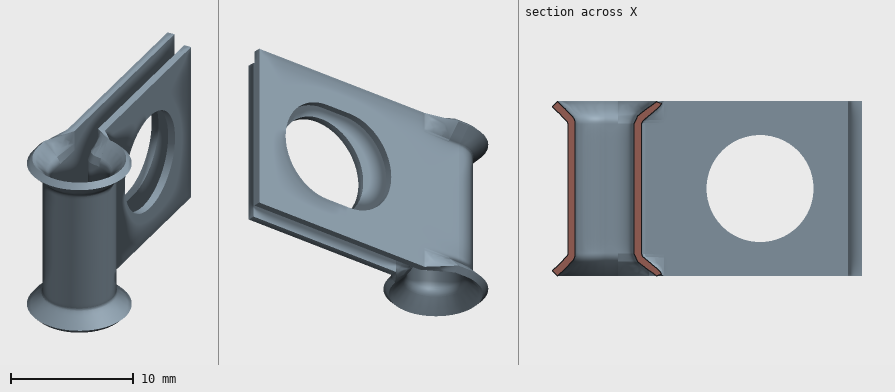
import cadquery as cq
import math

sheet = 0.635
height = 14.27
bore_radius = 2.38
barrel_radius = bore_radius + sheet
half_height = height / 2

long_leaf_end = 21.03
short_leaf_end = 19.87
long_leaf_outer_x = -barrel_radius
long_leaf_inner_x = -bore_radius
short_leaf_gap_x = -0.86
short_leaf_far_x = short_leaf_gap_x + sheet

hole_y = 12.70
hole_diameter = 8.73
slot_length = 11.11

reverse_bend_inner = 0.365
reverse_bend_outer = reverse_bend_inner + sheet
bend_center_x = short_leaf_gap_x + reverse_bend_outer
bend_center_distance = bore_radius + reverse_bend_outer
bend_center_y = math.sqrt(bend_center_distance**2 - bend_center_x**2)
bend_direction = math.atan2(bend_center_y, bend_center_x)

flare_radius = 4.28
flare_angle = math.radians(45)
flare_bend_outer = 0.27
flare_bend_inner = flare_bend_outer + sheet
flare_zone_z = 5.08
tip_outer_z = half_height - sheet * math.cos(flare_angle)
tip_inner_radius = flare_radius - sheet * math.sin(flare_angle)
bend_rise = 1 - math.cos(flare_angle)
cone_outer_radius = barrel_radius + flare_bend_outer * bend_rise
cone_outer_z = tip_outer_z - (flare_radius - cone_outer_radius) / math.tan(flare_angle)
flare_bend_z = cone_outer_z - flare_bend_outer * math.sin(flare_angle)
cone_inner_radius = bore_radius + flare_bend_inner * bend_rise
cone_inner_z = flare_bend_z + flare_bend_inner * math.sin(flare_angle)

straight_flare_end_y = 1.10
long_transition_end_y = 3.63
flare_stop_x = 0.64
short_transition_end_y = 4.87
bend_steps = 4
straight_steps = 4


def polar(radius, angle, center=(0, 0)):
    return (center[0] + radius * math.cos(angle), center[1] + radius * math.sin(angle))


def blend(start, end, fraction):
    return tuple(a + fraction * (b - a) for a, b in zip(start, end))


def box_between(x_range, y_range, z_range):
    size = [high - low for low, high in (x_range, y_range, z_range)]
    corner = (x_range[0], y_range[0], z_range[0])
    return cq.Workplane("XY").box(*size, centered=False).translate(corner)


def stop_point(radius):
    """Point at the given radius where the turned barrel is cut off before the reverse bend."""
    return (flare_stop_x, math.sqrt(radius**2 - flare_stop_x**2))


def make_neck():
    """Sheet between the flared zones that runs from the barrel around the reverse bend."""
    bend_center = (bend_center_x, bend_center_y)
    bend_start = bend_direction + math.pi
    bend_middle = (bend_start + math.pi) / 2
    stop_x, outer_stop_y = stop_point(barrel_radius)
    barrel_middle = (math.atan2(outer_stop_y, stop_x) + bend_direction) / 2
    _, inner_stop_y = stop_point(bore_radius)
    bore_middle = (math.atan2(inner_stop_y, stop_x) + bend_direction) / 2
    return (
        cq.Workplane("XY", origin=(0, 0, -flare_zone_z))
        .moveTo(stop_x, outer_stop_y)
        .threePointArc(polar(barrel_radius, barrel_middle), polar(barrel_radius, bend_direction))
        .threePointArc(
            polar(reverse_bend_inner, bend_middle, bend_center),
            (short_leaf_far_x, bend_center_y),
        )
        .lineTo(short_leaf_far_x, short_transition_end_y)
        .lineTo(short_leaf_gap_x, short_transition_end_y)
        .lineTo(short_leaf_gap_x, bend_center_y)
        .threePointArc(
            polar(reverse_bend_outer, bend_middle, bend_center),
            polar(bore_radius, bend_direction),
        )
        .threePointArc(polar(bore_radius, bore_middle), (stop_x, inner_stop_y))
        .close()
        .extrude(2 * flare_zone_z)
    )


def make_long_leaf_root():
    """Flat sheet between the flared zones where the barrel runs into the long leaf."""
    return box_between(
        (long_leaf_outer_x, long_leaf_inner_x),
        (straight_flare_end_y, long_transition_end_y),
        (-flare_zone_z, flare_zone_z),
    )


def make_leaves():
    """Flat leaves, one with an obround slot and one with a round hole."""
    z_range = (-half_height, half_height)
    long_leaf = box_between(
        (long_leaf_outer_x, long_leaf_inner_x), (long_transition_end_y, long_leaf_end), z_range
    )
    short_leaf = box_between(
        (short_leaf_gap_x, short_leaf_far_x), (short_transition_end_y, short_leaf_end), z_range
    )
    slot = (
        cq.Workplane("YZ", origin=(long_leaf_outer_x, hole_y, 0))
        .slot2D(slot_length, hole_diameter)
        .extrude(sheet)
    )
    hole = (
        cq.Workplane("YZ", origin=(short_leaf_gap_x, hole_y, 0))
        .circle(hole_diameter / 2)
        .extrude(sheet)
    )
    return long_leaf.cut(slot), short_leaf.cut(hole)


def barrel_profile(plane_y):
    """Section of the barrel wall with both flares, on the -X side of the plane Y = plane_y."""
    half_rise = 1 - math.cos(flare_angle / 2)
    half_run = math.sin(flare_angle / 2)
    outer_mid_x = -barrel_radius - flare_bend_outer * half_rise
    outer_mid_z = flare_bend_z + flare_bend_outer * half_run
    inner_mid_x = -bore_radius - flare_bend_inner * half_rise
    inner_mid_z = flare_bend_z + flare_bend_inner * half_run
    return (
        cq.Workplane("XZ", origin=(0, plane_y, 0))
        .moveTo(-barrel_radius, -flare_bend_z)
        .lineTo(-barrel_radius, flare_bend_z)
        .threePointArc((outer_mid_x, outer_mid_z), (-cone_outer_radius, cone_outer_z))
        .lineTo(-flare_radius, tip_outer_z)
        .lineTo(-tip_inner_radius, half_height)
        .lineTo(-cone_inner_radius, cone_inner_z)
        .threePointArc((inner_mid_x, inner_mid_z), (-bore_radius, flare_bend_z))
        .lineTo(-bore_radius, -flare_bend_z)
        .threePointArc((inner_mid_x, -inner_mid_z), (-cone_inner_radius, -cone_inner_z))
        .lineTo(-tip_inner_radius, -half_height)
        .lineTo(-flare_radius, -tip_outer_z)
        .lineTo(-cone_outer_radius, -cone_outer_z)
        .threePointArc((outer_mid_x, -outer_mid_z), (-barrel_radius, -flare_bend_z))
        .close()
    )


def make_barrel():
    """Turned barrel up to the stop plane, and its straight run beside the long leaf."""
    axis_start = (0, 0, 0)
    axis_end = (0, 1, 0)
    ring = barrel_profile(0).revolve(360, axis_start, axis_end)
    open_side = box_between(
        (-flare_radius, flare_stop_x), (0, flare_radius), (-half_height, half_height)
    )
    straight = barrel_profile(straight_flare_end_y).extrude(straight_flare_end_y)
    return ring.cut(open_side).union(straight)


def flank_point(base, tip, across, upward):
    """Point between base and tip, at separate fractions of their level and vertical distances."""
    x, y, _ = blend(base, tip, across)
    return (x, y, base[2] + upward * (tip[2] - base[2]))


def transition_section(base_inner, base_outer, tip_inner, tip_outer):
    """Corner points of one section, with the flare's proportions kept between base and tip."""
    outer_rise = tip_outer_z - flare_zone_z
    inner_rise = half_height - flare_zone_z
    outer_bend_up = (flare_bend_z - flare_zone_z) / outer_rise
    inner_bend_up = (flare_bend_z - flare_zone_z) / inner_rise
    outer_cone_up = (cone_outer_z - flare_zone_z) / outer_rise
    inner_cone_up = (cone_inner_z - flare_zone_z) / inner_rise
    outer_cone_across = (cone_outer_radius - barrel_radius) / (flare_radius - barrel_radius)
    inner_cone_across = (cone_inner_radius - bore_radius) / (tip_inner_radius - bore_radius)
    points = [
        base_inner,
        base_outer,
        flank_point(base_outer, tip_outer, 0, outer_bend_up),
        flank_point(base_outer, tip_outer, outer_cone_across, outer_cone_up),
        tip_outer,
        tip_inner,
        flank_point(base_inner, tip_inner, inner_cone_across, inner_cone_up),
        flank_point(base_inner, tip_inner, 0, inner_bend_up),
    ]
    return [cq.Vector(*point) for point in points]


def make_transition(inner_bases, outer_bases, inner_tips, outer_tips):
    """Solid swept along matching base points, its tip edges running straight between their ends."""
    last = len(inner_bases) - 1
    fractions = [index / last for index in range(last + 1)]
    sections = []
    for index, fraction in enumerate(fractions):
        sections.append(
            transition_section(
                (*inner_bases[index], flare_zone_z),
                (*outer_bases[index], flare_zone_z),
                blend(*inner_tips, fraction),
                blend(*outer_tips, fraction),
            )
        )
    faces = [
        cq.Face.makeFromWires(cq.Wire.makePolygon(section, close=True))
        for section in (sections[0], sections[-1])
    ]
    rails = [cq.Edge.makeSpline(list(track), parameters=fractions) for track in zip(*sections)]
    for rail, next_rail in zip(rails, rails[1:] + rails[:1]):
        faces.append(cq.Face.makeRuledSurface(rail, next_rail))
    return cq.Workplane(obj=cq.Solid.makeSolid(cq.Shell.makeShell(faces)).fix())


def make_long_transition():
    """Flare fading straight into the long leaf."""
    flare_y = straight_flare_end_y
    leaf_y = long_transition_end_y
    return make_transition(
        [(long_leaf_inner_x, y) for y in (flare_y, leaf_y)],
        [(long_leaf_outer_x, y) for y in (flare_y, leaf_y)],
        [(-tip_inner_radius, flare_y, half_height), (long_leaf_inner_x, leaf_y, half_height)],
        [(-flare_radius, flare_y, tip_outer_z), (long_leaf_outer_x, leaf_y, half_height)],
    )


def make_short_transition():
    """Flare fading around the reverse bend into the short leaf."""

    def base_points(barrel_side_radius, bend_radius, leaf_x):
        points = [stop_point(barrel_side_radius)]
        start_angle = bend_direction + math.pi
        for step in range(bend_steps + 1):
            angle = start_angle + (math.pi - start_angle) * step / bend_steps
            points.append(polar(bend_radius, angle, (bend_center_x, bend_center_y)))
        for step in range(1, straight_steps + 1):
            y = bend_center_y + (short_transition_end_y - bend_center_y) * step / straight_steps
            points.append((leaf_x, y))
        return points

    inner_leaf_tip = (short_leaf_gap_x, short_transition_end_y, half_height)
    outer_leaf_tip = (short_leaf_far_x, short_transition_end_y, half_height)
    return make_transition(
        base_points(bore_radius, reverse_bend_outer, short_leaf_gap_x),
        base_points(barrel_radius, reverse_bend_inner, short_leaf_far_x),
        [(*stop_point(tip_inner_radius), half_height), inner_leaf_tip],
        [(*stop_point(flare_radius), tip_outer_z), outer_leaf_tip],
    )


long_leaf, short_leaf = make_leaves()
long_transition = make_long_transition()
short_transition = make_short_transition()
long_side = long_leaf.union(make_long_leaf_root())
long_side = long_side.union(long_transition).union(long_transition.mirror("XY"))
short_side = short_leaf.union(make_neck())
short_side = short_side.union(short_transition).union(short_transition.mirror("XY"))
body = make_barrel().union(long_side).union(short_side)
result = cq.Workplane(obj=body.solids().val())